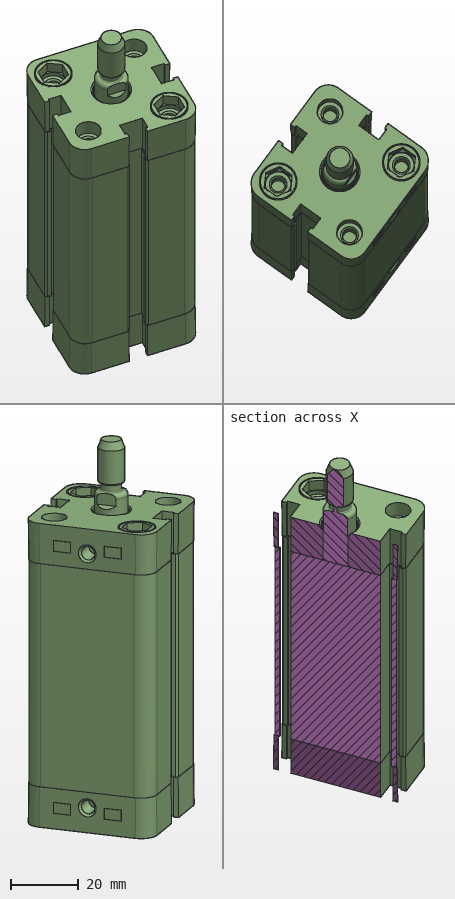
import cadquery as cq
import math

total_height = 116.0
rod_projection = 21.8
body_height = total_height - rod_projection
cap_height = 12.5
barrel_height = body_height - 2 * cap_height

cap_width = 40.3
cap_inner_width = 39.9
barrel_width = 40.0
cap_corner_radius = 5.0
barrel_corner_radius = 5.2
cap_draft_angle = math.degrees(math.atan((cap_width - cap_inner_width) / 2 / cap_height))

slot_floor_depth = 5.6
slot_floor = cap_width / 2 - slot_floor_depth
slot_angles = (-90, 0, 90)
cap_slot_mouth = 5.9
cap_slot_width = 7.3
cap_slot_lip = 1.6
barrel_slot_mouth = 5.2
barrel_slot_width = 6.6
barrel_slot_lip = 2.0
barrel_slot_chamfer = 0.7

corner_offset = 13.0
thread_core_diameter = 4.2
corner_mouth_diameter = 5.2
corner_countersink = (corner_mouth_diameter - thread_core_diameter) / 2
thread_depth = 9.9
clearance_diameter = 7.5
clearance_depth = 4.9
screw_seat_diameter = 11.1
screw_face_diameter = 10.4
screw_chamfer = (screw_seat_diameter - screw_face_diameter) / 2
hex_corner_diameter = 9.0
hex_depth = 3.5

port_distance = 7.8
port_depth = 7.0
port_mouth_diameter = 5.8
port_countersink = (port_mouth_diameter - thread_core_diameter) / 2
label_offset_y = 8.0
label_distance = 6.5
label_width = 5.3
label_height = 3.4
label_recess = 0.2

rod_diameter = 10.0
rod_shoulder_height = 6.1
rod_shoulder_fillet = 1.5
flat_across = 8.0
flat_bottom = 2.4
rod_thread_diameter = 8.0
rod_tip_diameter = 6.0
rod_tip_length = 2.5
rod_neck_diameter = 6.1
rod_neck_length = 2.3
rod_neck_fillet = 0.3
rod_thread_end_chamfer = 0.5
rod_mouth_diameter = 12.0
rod_recess_diameter = 11.1
rod_recess_depth = 1.2
rod_bore_mouth_diameter = 10.4
rod_bore_chamfer = (rod_bore_mouth_diameter - rod_diameter) / 2
rod_mouth_chamfer = (rod_mouth_diameter - rod_recess_diameter) / 2


def rounded_square(width, corner_radius):
    """Sketch of a square with rounded corners."""
    return cq.Sketch().rect(width, width).vertices().fillet(corner_radius)


def cylinder_down(x, y, top, diameter, depth):
    """Vertical cylinder that runs down from the given top height."""
    return cq.Workplane("XY", origin=(x, y, top)).circle(diameter / 2).extrude(-depth)


def cone_down(x, y, top, top_diameter, bottom_diameter, depth):
    """Vertical cone frustum that runs down from the given top height."""
    cone = cq.Solid.makeCone(
        top_diameter / 2, bottom_diameter / 2, depth, cq.Vector(x, y, top), cq.Vector(0, 0, -1)
    )
    return cq.Workplane(cone)


def t_slot(outer_face, mouth, width, lip, bottom, height):
    """T-shaped slot cutter that opens toward +X."""
    lip_x = outer_face - lip
    neck_length = cap_width / 2 - lip_x
    neck = cq.Workplane("XY").box(neck_length, mouth, height, centered=(False, True, False))
    head = cq.Workplane("XY").box(lip_x - slot_floor, width, height, centered=(False, True, False))
    neck = neck.translate((lip_x, 0, bottom))
    head = head.translate((slot_floor, 0, bottom))
    return head.union(neck)


def cut_around(body, cutter):
    """Cut the same slot into every slotted side."""
    for angle in slot_angles:
        body = body.cut(cutter.rotate((0, 0, 0), (0, 0, 1), angle))
    return body


def make_barrel():
    """Extruded profile between the caps."""
    barrel = (
        cq.Workplane("XY", origin=(0, 0, cap_height))
        .placeSketch(rounded_square(barrel_width, barrel_corner_radius))
        .extrude(barrel_height)
    )
    face = barrel_width / 2
    slot = t_slot(face, barrel_slot_mouth, barrel_slot_width, barrel_slot_lip, cap_height, barrel_height)
    half_mouth = barrel_slot_mouth / 2
    bevel = (
        cq.Workplane("XY", origin=(0, 0, cap_height))
        .moveTo(face, -half_mouth - barrel_slot_chamfer)
        .lineTo(face, half_mouth + barrel_slot_chamfer)
        .lineTo(face - barrel_slot_chamfer, half_mouth)
        .lineTo(face - barrel_slot_chamfer, -half_mouth)
        .close()
        .extrude(barrel_height)
    )
    return cut_around(barrel, slot.union(bevel))


def make_cap_blank():
    """Drafted, slotted cap whose outer end lies at the top of the body."""
    blank = (
        cq.Workplane("XY", origin=(0, 0, body_height))
        .placeSketch(rounded_square(cap_width, cap_corner_radius))
        .extrude(-cap_height, taper=cap_draft_angle)
    )
    slot = t_slot(
        cap_width / 2, cap_slot_mouth, cap_slot_width, cap_slot_lip, body_height - cap_height, cap_height
    )
    return cut_around(blank, slot)


def cut_port(cap):
    """Countersunk air port in the -X side."""
    position = cq.Vector(-cap_width / 2, 0, body_height - port_distance)
    inward = cq.Vector(1, 0, 0)
    bore = cq.Solid.makeCylinder(thread_core_diameter / 2, port_depth, position, inward)
    countersink = cq.Solid.makeCone(
        port_mouth_diameter / 2, thread_core_diameter / 2, port_countersink, position, inward
    )
    return cap.cut(cq.Workplane(bore)).cut(cq.Workplane(countersink))


def cut_labels(cap):
    """Shallow rectangular label panels on both sides of the port."""
    for side in (-1, 1):
        panel = cq.Workplane("XY").box(2 * label_recess, label_width, label_height)
        center = (-cap_width / 2, side * label_offset_y, body_height - label_distance)
        cap = cap.cut(panel.translate(center))
    return cap


def cut_corner_thread(cap, x, y):
    """Countersunk thread core at the bottom of a clearance hole."""
    top = body_height - clearance_depth
    cap = cap.cut(cylinder_down(x, y, top, thread_core_diameter, thread_depth - clearance_depth))
    return cap.cut(cone_down(x, y, top, corner_mouth_diameter, thread_core_diameter, corner_countersink))


def cut_clearance_hole(cap, x, y):
    """Plain mounting hole with a threaded bottom."""
    cap = cap.cut(cylinder_down(x, y, body_height, clearance_diameter, clearance_depth))
    return cut_corner_thread(cap, x, y)


def cut_screw_head(cap, x, y):
    """Flush screw head: bevelled rim, hexagon socket and threaded bottom."""
    rim = cylinder_down(x, y, body_height, screw_seat_diameter, screw_chamfer).cut(
        cone_down(x, y, body_height, screw_face_diameter, screw_seat_diameter, screw_chamfer)
    )
    hexagon = (
        cq.Workplane("XY", origin=(x, y, body_height)).polygon(6, hex_corner_diameter).extrude(-hex_depth)
    )
    return cut_clearance_hole(cap.cut(rim).cut(hexagon), x, y)


def cut_rod_bore(cap):
    """Through bore for the rod, with a bevelled recess at the outer end and a bevelled step below it."""
    cap = cap.cut(cylinder_down(0, 0, body_height, rod_diameter, cap_height))
    cap = cap.cut(cylinder_down(0, 0, body_height, rod_recess_diameter, rod_recess_depth))
    recess_floor = body_height - rod_recess_depth
    cap = cap.cut(cone_down(0, 0, recess_floor, rod_bore_mouth_diameter, rod_diameter, rod_bore_chamfer))
    return cap.cut(
        cone_down(0, 0, body_height, rod_mouth_diameter, rod_recess_diameter, rod_mouth_chamfer)
    )


def make_bearing_cap():
    """Upper cap with the rod bore, corner holes and screw heads."""
    cap = cut_labels(cut_port(make_cap_blank()))
    for side in (-1, 1):
        cap = cut_screw_head(cap, side * corner_offset, side * corner_offset)
        cap = cut_clearance_hole(cap, side * corner_offset, -side * corner_offset)
    return cut_rod_bore(cap)


def make_end_cap():
    """Lower cap: mirror image of the upper one, with a plain outer face."""
    cap = cut_labels(cut_port(make_cap_blank()))
    return cap.mirror("XY", (0, 0, body_height / 2))


def make_rod():
    """Piston rod with wrench flats, a neck and a threaded end, seated in the bearing cap."""
    rod_bottom = body_height - cap_height
    shoulder = body_height + rod_shoulder_height
    thread_start = shoulder + rod_neck_length
    shaft = cylinder_down(0, 0, shoulder, rod_diameter, shoulder - rod_bottom)
    shaft = shaft.faces(">Z").edges().fillet(rod_shoulder_fillet)

    flat_depth = (rod_diameter - flat_across) / 2
    flat_z = body_height + flat_bottom
    flat_cutter = (
        cq.Workplane("XZ")
        .moveTo(flat_across / 2, shoulder)
        .lineTo(flat_across / 2, flat_z)
        .lineTo(rod_diameter / 2, flat_z - flat_depth)
        .lineTo(rod_diameter / 2, shoulder)
        .close()
        .extrude(rod_diameter / 2, both=True)
    )
    shaft = shaft.cut(flat_cutter).cut(flat_cutter.mirror("YZ"))

    neck_radius = rod_neck_diameter / 2
    thread_radius = rod_thread_diameter / 2
    threaded_end = (
        cq.Workplane("XZ")
        .moveTo(0, shoulder)
        .lineTo(neck_radius + rod_neck_fillet, shoulder)
        .radiusArc((neck_radius, shoulder + rod_neck_fillet), rod_neck_fillet)
        .lineTo(neck_radius, thread_start - rod_neck_fillet)
        .radiusArc((neck_radius + rod_neck_fillet, thread_start), rod_neck_fillet)
        .lineTo(thread_radius - rod_thread_end_chamfer, thread_start)
        .lineTo(thread_radius, thread_start + rod_thread_end_chamfer)
        .lineTo(thread_radius, total_height - rod_tip_length)
        .lineTo(rod_tip_diameter / 2, total_height)
        .lineTo(0, total_height)
        .close()
        .revolve(360, (0, 0, 0), (0, 1, 0))
    )
    return shaft.union(threaded_end)


barrel = make_barrel()
bearing_cap = make_bearing_cap()
end_cap = make_end_cap()
rod = make_rod()

result = cq.Compound.makeCompound([barrel.val(), bearing_cap.val(), end_cap.val(), rod.val()])